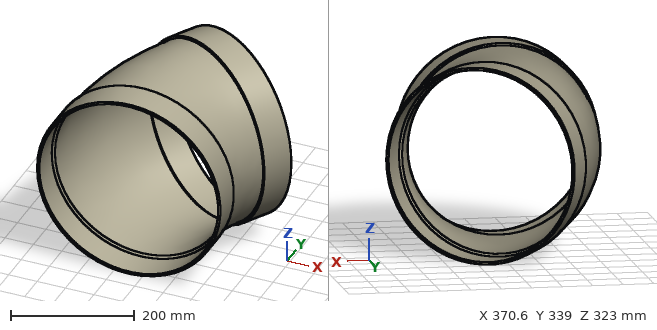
import cadquery as cq
import math

body_diameter = 315.5
body_bore = 307.2
collar_diameter = 323.0
collar_bore = 315.0
collar_length = 54.0
lead_in_length = 4.0
bend_angle = 30.0
bend_radius = 315.0

inlet_x = collar_diameter / 2
angle = math.radians(bend_angle)
outlet_x = inlet_x + bend_radius * (1 - math.cos(angle))
outlet_y = collar_length + bend_radius * math.sin(angle)


def end_plane(x, y, turn):
    """Plane across the pipe, facing along the flow after the given turn towards +X."""
    return cq.Plane(
        origin=(x, y, 0),
        xDir=(math.cos(turn), -math.sin(turn), 0),
        normal=(math.sin(turn), math.cos(turn), 0),
    )


def collar(joint):
    """Socket extending outward from the joint plane, with a conical step down to the body bore."""
    sleeve = cq.Workplane(joint).circle(collar_diameter / 2).extrude(collar_length)
    lead_in = (
        cq.Workplane(joint)
        .circle(body_bore / 2)
        .workplane(offset=lead_in_length)
        .circle(collar_bore / 2)
        .loft()
    )
    socket = (
        cq.Workplane(joint)
        .workplane(offset=lead_in_length)
        .circle(collar_bore / 2)
        .extrude(collar_length - lead_in_length)
    )
    return sleeve.cut(lead_in).cut(socket)


def bend():
    """Annular section revolved about an axis parallel to Z on the +X side."""
    section = (
        cq.Workplane(end_plane(inlet_x, collar_length, 0))
        .circle(body_diameter / 2)
        .circle(body_bore / 2)
    )
    return section.revolve(bend_angle, (bend_radius, 0, 0), (bend_radius, 1, 0))


inlet_collar = collar(end_plane(inlet_x, collar_length, math.pi))
outlet_collar = collar(end_plane(outlet_x, outlet_y, angle))

result = bend().union(inlet_collar).union(outlet_collar)